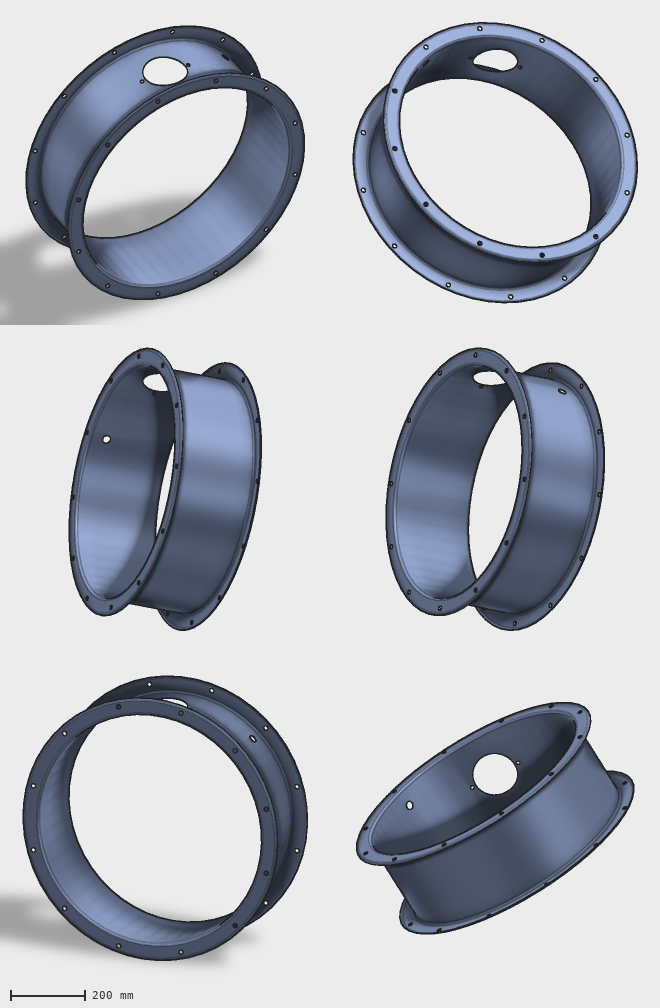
import cadquery as cq
import math

length = 240.0
outer_diameter = 730.0
tube_inner_diameter = 635.0
sheet = 2.0

bend_inner_radius = 5.0
lip_angle = math.radians(45)
lip_bend_start_radius = 357.1

bolt_count = 12
bolt_circle_radius = 345.0
bolt_hole_diameter = 12.0

opening_diameter = 120.0
screw_spacing = 142.0
screw_hole_diameter = 10.0

port_diameter = 22.0
port_x = -70.0
port_tilt = 45.0

half_length = length / 2
outer_radius = outer_diameter / 2
tube_inner_radius = tube_inner_diameter / 2
tube_outer_radius = tube_inner_radius + sheet
bend_outer_radius = bend_inner_radius + sheet
bend_center_x = half_length - bend_outer_radius
root_bend_center = (bend_center_x, tube_inner_radius + bend_outer_radius)
lip_bend_center = (bend_center_x, lip_bend_start_radius)


def polar(center, radius, angle):
    """Point at the given distance and angle (from +X) around a centre."""
    return (center[0] + radius * math.cos(angle), center[1] + radius * math.sin(angle))


def flanged_end(end):
    """Section points, in order from bore to tube outside, for the end at -X (-1) or +X (+1)."""
    half_right_angle = math.pi / 4
    half_lip_angle = lip_angle / 2
    lip_start = polar(lip_bend_center, bend_outer_radius, lip_angle)
    lip_length = (outer_radius - lip_start[1]) / math.cos(lip_angle)
    lip_tip = polar(lip_start, lip_length, lip_angle + math.pi / 2)
    points = {
        "bore_end": polar(root_bend_center, bend_outer_radius, -math.pi / 2),
        "root_face_mid": polar(root_bend_center, bend_outer_radius, -half_right_angle),
        "face_start": polar(root_bend_center, bend_outer_radius, 0),
        "face_end": polar(lip_bend_center, bend_outer_radius, 0),
        "lip_face_mid": polar(lip_bend_center, bend_outer_radius, half_lip_angle),
        "lip_face_start": lip_start,
        "lip_face_tip": lip_tip,
        "lip_back_tip": polar(lip_tip, sheet, lip_angle + math.pi),
        "lip_back_start": polar(lip_bend_center, bend_inner_radius, lip_angle),
        "lip_back_mid": polar(lip_bend_center, bend_inner_radius, half_lip_angle),
        "back_end": polar(lip_bend_center, bend_inner_radius, 0),
        "back_start": polar(root_bend_center, bend_inner_radius, 0),
        "root_back_mid": polar(root_bend_center, bend_inner_radius, -half_right_angle),
        "tube_end": polar(root_bend_center, bend_inner_radius, -math.pi / 2),
    }
    return {name: (end * x, radius) for name, (x, radius) in points.items()}


def flanged_ring():
    """Tube with both flanges and lips, revolved about X from one sheet section."""
    left = flanged_end(-1)
    right = flanged_end(1)
    section = (
        cq.Workplane("XZ")
        .moveTo(*left["bore_end"])
        .lineTo(*right["bore_end"])
        .threePointArc(right["root_face_mid"], right["face_start"])
        .lineTo(*right["face_end"])
        .threePointArc(right["lip_face_mid"], right["lip_face_start"])
        .lineTo(*right["lip_face_tip"])
        .lineTo(*right["lip_back_tip"])
        .lineTo(*right["lip_back_start"])
        .threePointArc(right["lip_back_mid"], right["back_end"])
        .lineTo(*right["back_start"])
        .threePointArc(right["root_back_mid"], right["tube_end"])
        .lineTo(*left["tube_end"])
        .threePointArc(left["root_back_mid"], left["back_start"])
        .lineTo(*left["back_end"])
        .threePointArc(left["lip_back_mid"], left["lip_back_start"])
        .lineTo(*left["lip_back_tip"])
        .lineTo(*left["lip_face_tip"])
        .lineTo(*left["lip_face_start"])
        .threePointArc(left["lip_face_mid"], left["face_end"])
        .lineTo(*left["face_start"])
        .threePointArc(left["root_face_mid"], left["bore_end"])
        .close()
    )
    return section.revolve(360, (0, 0, 0), (1, 0, 0))


def bolt_hole_cutters():
    """Rods along X through both flanges, straddling the vertical centre line."""
    half_pitch = 180.0 / bolt_count
    return (
        cq.Workplane("YZ", origin=(-half_length, 0, 0))
        .polarArray(bolt_circle_radius, half_pitch, 360, bolt_count)
        .circle(bolt_hole_diameter / 2)
        .extrude(length)
    )


def wall_hole_cutter(diameter, x, y=0.0):
    """Vertical rod from the ring axis out through the top of the tube wall."""
    return cq.Workplane("XY").center(x, y).circle(diameter / 2).extrude(outer_radius)


def port_cutter():
    """Radial rod through the tube wall, tilted about the ring axis towards +Y."""
    return wall_hole_cutter(port_diameter, port_x).rotate((0, 0, 0), (1, 0, 0), -port_tilt)


ring = flanged_ring()
ring = ring.cut(bolt_hole_cutters())
ring = ring.cut(wall_hole_cutter(opening_diameter, x=0))
for side in (-1, 1):
    ring = ring.cut(wall_hole_cutter(screw_hole_diameter, x=0, y=side * screw_spacing / 2))
result = ring.cut(port_cutter())